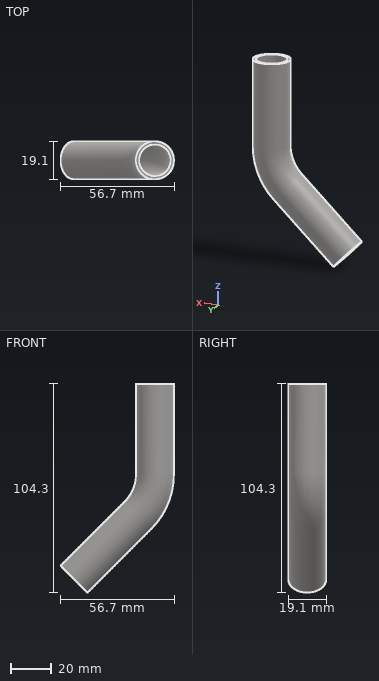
import cadquery as cq
import math

overall_height = 104.3
outer_diameter = 19.1
inner_diameter = 15.7
bend_angle = 45.0
bend_radius_ratio = 1.5

bend_sin = math.sin(math.radians(bend_angle))
bend_cos = math.cos(math.radians(bend_angle))
outer_radius = outer_diameter / 2
inner_radius = inner_diameter / 2
bend_radius = bend_radius_ratio * outer_diameter

bend_height = bend_radius * bend_sin
end_face_drop = outer_radius * bend_sin
leg_length = (overall_height - bend_height - end_face_drop) / (1 + bend_cos)


def tube_section(plane):
    """Ring profile of the tube, centred on the given plane."""
    return cq.Workplane(plane).circle(outer_radius).circle(inner_radius)


bend_start = cq.Plane(origin=(0, 0, 0), xDir=(1, 0, 0), normal=(0, 0, 1))
bend_end = cq.Plane(
    origin=(-bend_radius * (1 - bend_cos), 0, -bend_height),
    xDir=(0, 1, 0),
    normal=(-bend_sin, 0, -bend_cos),
)

upper_leg = tube_section(bend_start).extrude(leg_length)
lower_leg = tube_section(bend_end).extrude(leg_length)

bend = tube_section(bend_start).revolve(
    bend_angle,
    (-bend_radius, 0, 0),
    (-bend_radius, 1, 0),
)

result = upper_leg.union(bend).union(lower_leg)